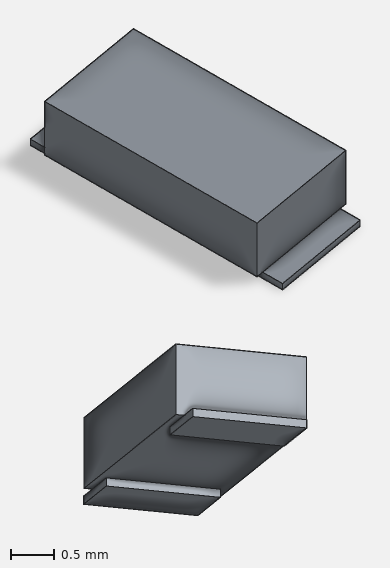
import cadquery as cq

overall_length = 3.8
overall_height = 0.95

body_length = 3.2
body_width = 1.6

terminal_length = 0.79
terminal_width = 1.4
terminal_thickness = 0.1

body_height = overall_height - terminal_thickness
terminal_offset = (overall_length - terminal_length) / 2


def make_body():
    """Plain block resting on top of the terminals."""
    return (
        cq.Workplane("XY")
        .workplane(offset=terminal_thickness)
        .box(body_length, body_width, body_height, centered=(True, True, False))
    )


def make_terminal(side):
    """Flat plate at one end; side is -1 for the -X end and +1 for the +X end."""
    return (
        cq.Workplane("XY")
        .center(side * terminal_offset, 0)
        .box(terminal_length, terminal_width, terminal_thickness, centered=(True, True, False))
    )


body = make_body()
terminals = [make_terminal(side) for side in (-1, 1)]

result = cq.Compound.makeCompound([body.val(), *[terminal.val() for terminal in terminals]])